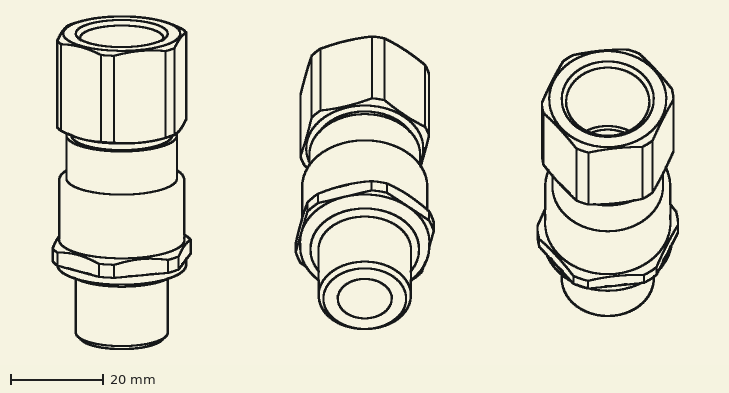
import cadquery as cq
import math

TOTAL_HEIGHT = 68.75
FLANGE_BOTTOM = 16.1
HEX_BOTTOM = 18.1
HEX_TOP = 22.0
COLLAR_TOP = 35.95
SLEEVE_TOP = 45.7
NUT_HEX_BOTTOM = 47.7

NUT_FLATS = 26.0
NUT_CORNER_DIAMETER = 28.5
NUT_FACE_DIAMETER = 25.4
NUT_CHAMFER_HEIGHT = 0.7
NECK_DIAMETER = 21.85
NUT_BORE_DIAMETER = 18.0
NUT_BORE_CHAMFER = 0.95

SPIGOT_DIAMETER = 20.0
SPIGOT_CHAMFER = 1.0
FLANGE_FLATS = 28.0
FLANGE_CORNER_DIAMETER = 30.5
FLANGE_CHAMFER_ANGLE = 30.0
FLANGE_FILLET = 0.35
COLLAR_DIAMETER = 27.15
COLLAR_FILLET = 0.4
SLEEVE_DIAMETER = 24.0
BORE_TOP_DIAMETER = 14.0
BORE_BOTTOM_DIAMETER = 11.7
BORE_CHAMFER = 1.0

CORD_RADIUS = 0.9
RING_DROP = 0.4

RING_RADIUS = SPIGOT_DIAMETER / 2 + CORD_RADIUS
RING_LEVEL = FLANGE_BOTTOM - RING_DROP


def cylinder(diameter, bottom, top):
    """Upright cylinder on the Z axis between two levels."""
    return cq.Workplane("XY").workplane(offset=bottom).circle(diameter / 2).extrude(top - bottom)


def hex_prism(flats, bottom, top):
    """Upright hexagonal prism with two flats facing +X and -X."""
    corners = flats / math.cos(math.radians(30))
    prism = cq.Workplane("XY").workplane(offset=bottom).polygon(6, corners).extrude(top - bottom)
    return prism.rotate((0, 0, 0), (0, 0, 1), 30)


def revolved(points):
    """Solid of revolution about Z from (radius, level) points."""
    return cq.Workplane("XZ").polyline(points).close().revolve(360, (0, 0, 0), (0, 1, 0))


def make_nut():
    """Cap nut with turned corners, a cone on both ends and a plain through bore."""
    corner_radius = NUT_CORNER_DIAMETER / 2
    face_radius = NUT_FACE_DIAMETER / 2
    turned_blank = revolved([
        (0, NUT_HEX_BOTTOM),
        (face_radius, NUT_HEX_BOTTOM),
        (corner_radius, NUT_HEX_BOTTOM + NUT_CHAMFER_HEIGHT),
        (corner_radius, TOTAL_HEIGHT - NUT_CHAMFER_HEIGHT),
        (face_radius, TOTAL_HEIGHT),
        (0, TOTAL_HEIGHT),
    ])
    head = hex_prism(NUT_FLATS, NUT_HEX_BOTTOM, TOTAL_HEIGHT).intersect(turned_blank)
    neck = cylinder(NECK_DIAMETER, SLEEVE_TOP, NUT_HEX_BOTTOM)

    bore_radius = NUT_BORE_DIAMETER / 2
    bore = revolved([
        (0, SLEEVE_TOP),
        (bore_radius, SLEEVE_TOP),
        (bore_radius, TOTAL_HEIGHT - NUT_BORE_CHAMFER),
        (bore_radius + NUT_BORE_CHAMFER, TOTAL_HEIGHT),
        (0, TOTAL_HEIGHT),
    ])
    return head.union(neck).cut(bore)


def make_flange_hex():
    """Hexagon with turned corners, sloping up to the collar."""
    corner_radius = FLANGE_CORNER_DIAMETER / 2
    collar_radius = COLLAR_DIAMETER / 2
    slope_height = (corner_radius - collar_radius) * math.tan(math.radians(FLANGE_CHAMFER_ANGLE))
    turned_blank = revolved([
        (0, HEX_BOTTOM),
        (corner_radius, HEX_BOTTOM),
        (corner_radius, HEX_TOP - slope_height),
        (collar_radius, HEX_TOP),
        (0, HEX_TOP),
    ])
    return hex_prism(FLANGE_FLATS, HEX_BOTTOM, HEX_TOP).intersect(turned_blank)


def make_body_bore():
    """Through bore: chamfered mouth, then a long taper down to the spigot end."""
    top_radius = BORE_TOP_DIAMETER / 2
    return revolved([
        (0, 0),
        (BORE_BOTTOM_DIAMETER / 2, 0),
        (top_radius, SLEEVE_TOP - BORE_CHAMFER),
        (top_radius + BORE_CHAMFER, SLEEVE_TOP),
        (0, SLEEVE_TOP),
    ])


def make_body(ring):
    """Gland body, grooved under the flange where the seal ring sits."""
    spigot = cylinder(SPIGOT_DIAMETER, 0, FLANGE_BOTTOM).faces("<Z").chamfer(SPIGOT_CHAMFER)
    flange = cylinder(FLANGE_FLATS, FLANGE_BOTTOM, HEX_BOTTOM).faces("<Z").edges().fillet(FLANGE_FILLET)
    collar = cylinder(COLLAR_DIAMETER, HEX_TOP, COLLAR_TOP).faces(">Z").edges().fillet(COLLAR_FILLET)
    sleeve = cylinder(SLEEVE_DIAMETER, COLLAR_TOP, SLEEVE_TOP)
    outside = spigot.union(flange).union(make_flange_hex()).union(collar).union(sleeve)
    return outside.cut(make_body_bore()).cut(ring)


def make_seal_ring():
    """Ring of round cord that touches the spigot all round."""
    cord = cq.Workplane("XZ").center(RING_RADIUS, RING_LEVEL).circle(CORD_RADIUS)
    return cord.revolve(360, (-RING_RADIUS, 0, 0), (-RING_RADIUS, 1, 0))


nut = make_nut()
seal_ring = make_seal_ring()
body = make_body(seal_ring)

result = cq.Compound.makeCompound([nut.val(), body.val(), seal_ring.val()])